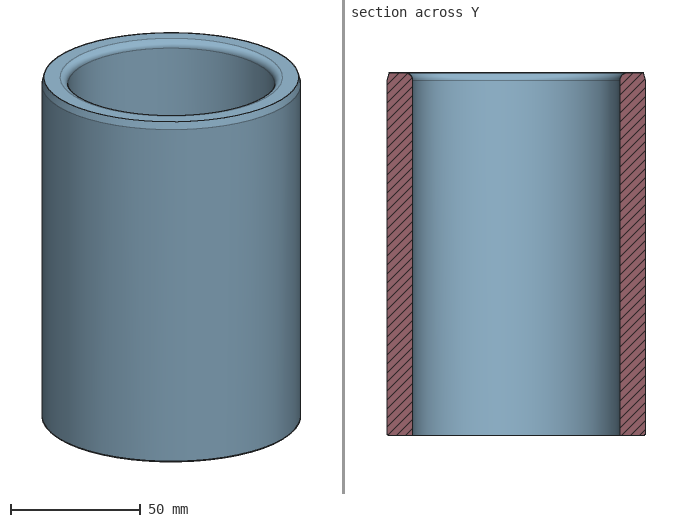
import cadquery as cq
import math

length = 140.0
outer_diameter = 100.0
bore_diameter = 80.0
lead_in_height = 3.0
lead_in_angle = 15.0
bottom_chamfer = 0.5
bore_rounding = 3.0

outer_radius = outer_diameter / 2
bore_radius = bore_diameter / 2
lead_in_width = lead_in_height * math.tan(math.radians(lead_in_angle))


def make_sleeve():
    """Plain tube standing on the XY plane."""
    return cq.Workplane("XY").circle(outer_radius).circle(bore_radius).extrude(length)


def chamfer_outside(sleeve):
    """Shallow lead-in on the top rim and a small edge break on the bottom rim."""
    outline = (
        cq.Workplane("XZ")
        .lineTo(outer_radius - bottom_chamfer, 0)
        .lineTo(outer_radius, bottom_chamfer)
        .lineTo(outer_radius, length - lead_in_height)
        .lineTo(outer_radius - lead_in_width, length)
        .lineTo(0, length)
        .close()
    )
    envelope = outline.revolve(360, (0, 0, 0), (0, 1, 0))
    return sleeve.intersect(envelope)


def round_bore(sleeve):
    """Rounded mouth at the top of the bore."""
    bore_edges = cq.selectors.RadiusNthSelector(0)
    return sleeve.faces(">Z").edges(bore_edges).fillet(bore_rounding)


result = round_bore(chamfer_outside(make_sleeve()))